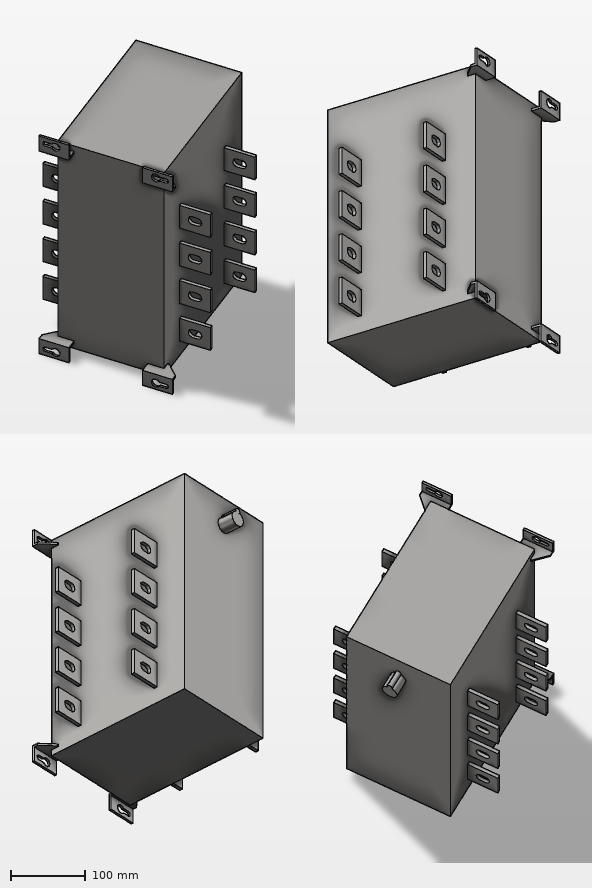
import cadquery as cq

total_height = 376.0
total_width = 250.0
total_depth = 281.0

body_width = 158.3
body_height = 350.0
body_depth = 239.5
foot_standoff = 16.0

shaft_diameter = 22.5
shaft_z = 130.0
pointer_diameter = 8.3
pointer_offset = 12.5

tab_height = 39.0
tab_thickness = 5.3
tab_pitch = 65.0
tab_rows = (1, 0, -1, -2)
tab_depths = (67.0, 203.8)
tab_slot_length = 20.0
tab_slot_height = 13.5
tab_slot_edge = 23.0

feet_width = 199.3
foot_width = 44.7
foot_height = 26.0
foot_depth = 28.2
sheet = 3.5
foot_chamfer = 18.8

keyhole_diameter = 12.8
keyhole_slot_height = 7.0
keyhole_x = 75.0
keyhole_tip_x = keyhole_x + 18.8
keyhole_edge = 10.5

overlap = 3.8


def block(x0, x1, y0, y1, z0, z1):
    """Axis-aligned box given by its limits."""
    return cq.Workplane("XY").box(x1 - x0, y1 - y0, z1 - z0, centered=False).translate((x0, y0, z0))


def mirrored_x(shape):
    """The shape together with its mirror image in X."""
    return shape.union(shape.mirror("YZ"))


def housing():
    return block(-body_width / 2, body_width / 2, foot_standoff, foot_standoff + body_depth,
                 -body_height / 2, body_height / 2)


def shaft():
    """Round bar along Y; the pointer bar runs its full length and stands proud of the top."""
    length = total_depth - foot_standoff - body_depth + overlap
    end_face = cq.Workplane("XZ", origin=(0, total_depth, shaft_z))
    bar = end_face.circle(shaft_diameter / 2).extrude(length)
    pointer = end_face.center(0, pointer_offset).circle(pointer_diameter / 2).extrude(length)
    return bar.union(pointer)


def tab(y, z):
    """One slotted terminal tab on the +X side."""
    plate = block(body_width / 2 - overlap, total_width / 2, y - tab_thickness / 2, y + tab_thickness / 2,
                  z - tab_height / 2, z + tab_height / 2)
    slot = (
        cq.Workplane("XZ", origin=(total_width / 2 - tab_slot_edge, y, z))
        .slot2D(tab_slot_length, tab_slot_height)
        .extrude(tab_thickness, both=True)
    )
    return plate.cut(slot)


def foot():
    """The bracket at the +X, +Z corner."""
    outer_x = feet_width / 2
    inner_x = outer_x - foot_width
    top = total_height / 2
    bottom = top - foot_height
    flange = block(inner_x, outer_x, 0, sheet, bottom, top)
    web = block(inner_x, outer_x, 0, foot_depth, bottom, bottom + sheet)
    web = web.edges("|Z and >X and >Y").chamfer(foot_chamfer)

    keyhole_z = top - keyhole_edge
    round_hole = (
        cq.Workplane("XZ", origin=(keyhole_x, 0, keyhole_z)).circle(keyhole_diameter / 2).extrude(-sheet)
    )
    slot_length = keyhole_tip_x - keyhole_x + keyhole_slot_height / 2
    slot = (
        cq.Workplane("XZ", origin=(keyhole_tip_x - slot_length / 2, 0, keyhole_z))
        .slot2D(slot_length, keyhole_slot_height)
        .extrude(-sheet)
    )
    return flange.cut(round_hole).cut(slot).union(web)


result = housing().union(shaft())

for tab_y in tab_depths:
    for row in tab_rows:
        result = result.union(mirrored_x(tab(tab_y, row * tab_pitch)))

upper_feet = mirrored_x(foot())
result = result.union(upper_feet).union(upper_feet.mirror("XY"))